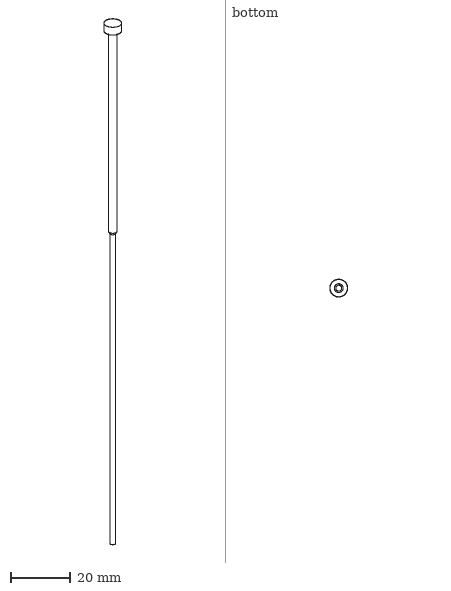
import cadquery as cq
import math

total_length = 200.0
head_diameter = 6.0
head_height = 3.0
shank_diameter = 3.0
shank_depth = 80.0
tip_diameter = 2.0
taper_half_angle = 30.0

head_radius = head_diameter / 2
shank_radius = shank_diameter / 2
tip_radius = tip_diameter / 2

taper_length = (shank_radius - tip_radius) / math.tan(math.radians(taper_half_angle))
head_bottom = total_length - head_height
shank_bottom = total_length - shank_depth
tip_top = shank_bottom - taper_length


def pin_profile():
    """Half section of the pin beside the Z axis, from the tip up to the head."""
    return (
        cq.Workplane("XZ")
        .moveTo(0, 0)
        .lineTo(tip_radius, 0)
        .lineTo(tip_radius, tip_top)
        .lineTo(shank_radius, shank_bottom)
        .lineTo(shank_radius, head_bottom)
        .lineTo(head_radius, head_bottom)
        .lineTo(head_radius, total_length)
        .lineTo(0, total_length)
        .close()
    )


result = pin_profile().revolve(360, (0, 0, 0), (0, 1, 0))